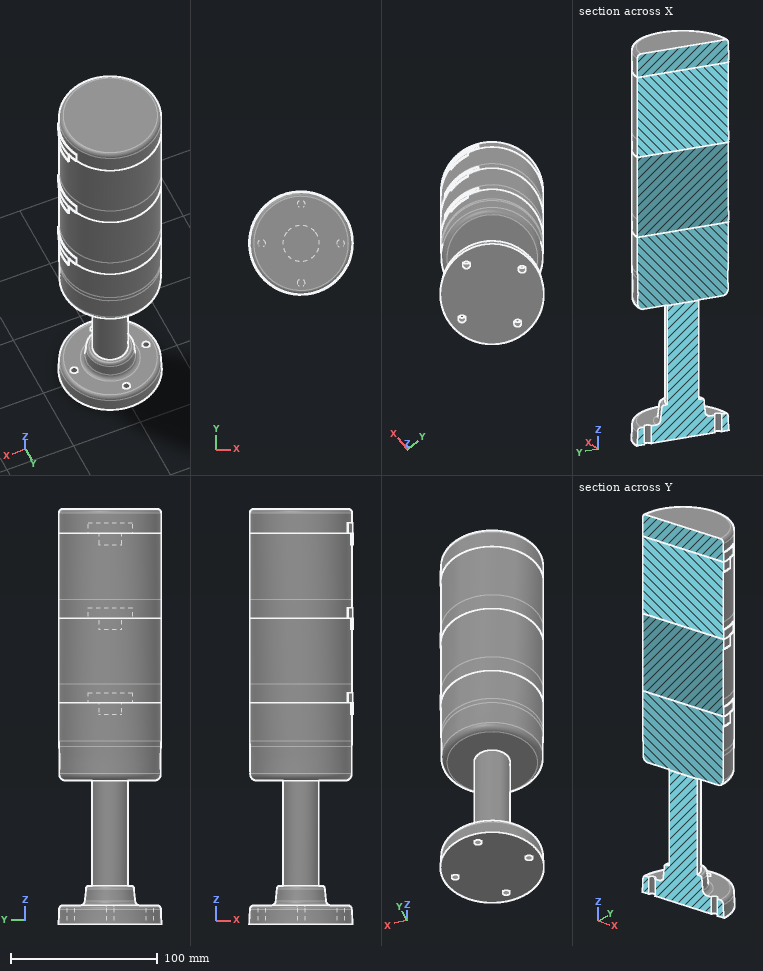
import cadquery as cq
import math

FOOT_DIAMETER = 71.0
FOOT_UPPER_DIAMETER = 69.9
FOOT_HEIGHT = 13.0
FOOT_EDGE_RADIUS = 2.8
BOLT_HOLE_DIAMETER = 5.0
BOLT_CIRCLE_DIAMETER = 54.0
BOLT_COUNT = 4

HUB_LOWER_DIAMETER = 34.5
HUB_UPPER_DIAMETER = 33.0
HUB_TOP_Z = 26.5
HUB_EDGE_RADIUS = 2.0
HUB_ROOT_RADIUS = 3.0
POLE_DIAMETER = 24.7

TOWER_DIAMETER = 70.0
TOWER_TOP_Z = 284.0
CAP_HEIGHT = 16.8
CAP_EDGE_RADIUS = 2.8
MODULE_COUNT = 2
MODULE_HEIGHT = 58.0
COLLAR_HEIGHT = 13.0

BASE_BOTTOM_Z = 98.2
BAND_TOP_Z = 125.5
BAND_HEIGHT = 3.7
BAND_LOWER_DIAMETER = 69.9
BASE_LOWER_DIAMETER = 69.5
BASE_FLAT_DIAMETER = 62.0
BASE_EDGE_HEIGHT = 5.0

MARK_RISE = 0.5
UPPER_MARK_WIDTH = 30.0
UPPER_MARK_HEIGHT = 7.0
LOWER_MARK_WIDTH = 15.3
LOWER_MARK_HEIGHT = 7.7

TOWER_RADIUS = TOWER_DIAMETER / 2
CAP_BOTTOM_Z = TOWER_TOP_Z - CAP_HEIGHT
BASE_TOP_Z = CAP_BOTTOM_Z - MODULE_COUNT * MODULE_HEIGHT
DIAGONAL = math.sqrt(0.5)


def round_corner(profile, center, reach_r, reach_z, end):
    """Add a rounded corner whose midpoint lies diagonally out from its center."""
    middle = (center[0] + reach_r * DIAGONAL, center[1] + reach_z * DIAGONAL)
    return profile.threePointArc(middle, end)


def revolve_profile(profile):
    """Close a half outline, drawn as (radius, height), and turn it about the Z axis."""
    return profile.close().revolve(360, (0, 0, 0), (0, 1, 0))


def start_profile(bottom_z):
    return cq.Workplane("XZ").moveTo(0, bottom_z)


def cylinder(diameter, bottom_z, height):
    return cq.Workplane("XY").workplane(offset=bottom_z).circle(diameter / 2).extrude(height)


def make_mark(width, bottom_z, height):
    """Thin raised patch that follows the tower wall on the +X side."""
    patch = cylinder(TOWER_DIAMETER + 2 * MARK_RISE, bottom_z, height)
    patch = patch.cut(cylinder(TOWER_DIAMETER - 2 * MARK_RISE, bottom_z, height))
    window = (
        cq.Workplane("XY")
        .workplane(offset=bottom_z)
        .center(TOWER_RADIUS, 0)
        .rect(TOWER_DIAMETER, width)
        .extrude(height)
    )
    return patch.intersect(window)


def upper_mark(joint_z):
    return make_mark(UPPER_MARK_WIDTH, joint_z, UPPER_MARK_HEIGHT)


def lower_mark(joint_z):
    return make_mark(LOWER_MARK_WIDTH, joint_z - LOWER_MARK_HEIGHT, LOWER_MARK_HEIGHT)


def make_stand():
    """Foot flange, hub and pole in one piece, with bolt holes through the flange."""
    foot_r = FOOT_UPPER_DIAMETER / 2
    foot_flat_r = foot_r - FOOT_EDGE_RADIUS
    foot_edge_z = FOOT_HEIGHT - FOOT_EDGE_RADIUS
    hub_lower_r = HUB_LOWER_DIAMETER / 2
    root_r = hub_lower_r + HUB_ROOT_RADIUS
    root_z = FOOT_HEIGHT + HUB_ROOT_RADIUS
    hub_upper_r = HUB_UPPER_DIAMETER / 2
    hub_flat_r = hub_upper_r - HUB_EDGE_RADIUS
    hub_edge_z = HUB_TOP_Z - HUB_EDGE_RADIUS

    profile = start_profile(0).lineTo(FOOT_DIAMETER / 2, 0).lineTo(foot_r, foot_edge_z)
    profile = round_corner(
        profile, (foot_flat_r, foot_edge_z), FOOT_EDGE_RADIUS, FOOT_EDGE_RADIUS, (foot_flat_r, FOOT_HEIGHT)
    )
    profile = profile.lineTo(root_r, FOOT_HEIGHT)
    profile = round_corner(
        profile, (root_r, root_z), -HUB_ROOT_RADIUS, -HUB_ROOT_RADIUS, (hub_lower_r, root_z)
    )
    profile = profile.lineTo(hub_upper_r, hub_edge_z)
    profile = round_corner(
        profile, (hub_flat_r, hub_edge_z), HUB_EDGE_RADIUS, HUB_EDGE_RADIUS, (hub_flat_r, HUB_TOP_Z)
    )
    profile = profile.lineTo(POLE_DIAMETER / 2, HUB_TOP_Z)
    profile = profile.lineTo(POLE_DIAMETER / 2, BASE_BOTTOM_Z).lineTo(0, BASE_BOTTOM_Z)

    bolt_holes = (
        cq.Workplane("XY")
        .polarArray(BOLT_CIRCLE_DIAMETER / 2, 0, 360, BOLT_COUNT)
        .circle(BOLT_HOLE_DIAMETER / 2)
        .extrude(FOOT_HEIGHT)
    )
    return revolve_profile(profile).cut(bolt_holes)


def make_base_unit():
    """Lowest part of the tower, standing on the pole."""
    flat_r = BASE_FLAT_DIAMETER / 2
    lower_r = BASE_LOWER_DIAMETER / 2
    edge_z = BASE_BOTTOM_Z + BASE_EDGE_HEIGHT

    profile = start_profile(BASE_BOTTOM_Z).lineTo(flat_r, BASE_BOTTOM_Z)
    profile = round_corner(profile, (flat_r, edge_z), lower_r - flat_r, -BASE_EDGE_HEIGHT, (lower_r, edge_z))
    profile = profile.lineTo(BAND_LOWER_DIAMETER / 2, BAND_TOP_Z - BAND_HEIGHT)
    profile = profile.lineTo(TOWER_RADIUS, BAND_TOP_Z)
    profile = profile.lineTo(TOWER_RADIUS, BASE_TOP_Z).lineTo(0, BASE_TOP_Z)
    return revolve_profile(profile).union(lower_mark(BASE_TOP_Z))


def make_module(bottom_z):
    """Light module: a collar below a flush lens, kept as two faces with a seam line between them."""
    lens_height = MODULE_HEIGHT - COLLAR_HEIGHT
    parts = [
        cylinder(TOWER_DIAMETER, bottom_z + COLLAR_HEIGHT, lens_height),
        upper_mark(bottom_z),
        lower_mark(bottom_z + MODULE_HEIGHT),
    ]
    module = cylinder(TOWER_DIAMETER, bottom_z, COLLAR_HEIGHT)
    for part in parts:
        module = module.union(part, clean=False)
    return module


def make_cap():
    """Closed top of the tower with a rounded rim."""
    cap = cylinder(TOWER_DIAMETER, CAP_BOTTOM_Z, CAP_HEIGHT).faces(">Z").edges().fillet(CAP_EDGE_RADIUS)
    return cap.union(upper_mark(CAP_BOTTOM_Z))


stand = make_stand()
base_unit = make_base_unit()
modules = [make_module(BASE_TOP_Z + i * MODULE_HEIGHT) for i in range(MODULE_COUNT)]
cap = make_cap()

result = cq.Compound.makeCompound(
    [stand.val(), base_unit.val(), *[module.val() for module in modules], cap.val()]
)